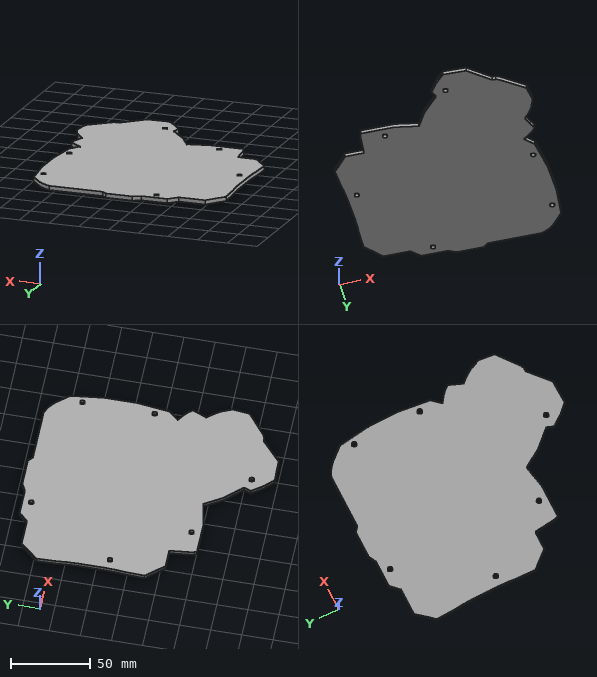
import cadquery as cq

length_y = 156.0
width_x = 137.5
thickness = 3.0
hole_diameter = 3.0

top_level = length_y
main_top = 153.3
corner_top = 147.5
corner_bottom = 54.9
foot_bottom = 37.6

left_axis = (corner_top + corner_bottom) / 2
left_half_points = [
    (1.2, 9.2),
    (1.0, 16.8),
    (0.5, 21.0),
    (0.0, 34.6),
    (0.6, 35.7),
    (3.6, 39.0),
    (9.7, corner_top - left_axis),
]

right_axis = 107.2
right_bulge_x = 130.9
right_bulge_half = 10.6
right_end_x = 128.2
right_end_half = 32.1

left_upper = [(x, left_axis + offset) for x, offset in left_half_points]
left_lower = [(x, left_axis - offset) for x, offset in reversed(left_half_points)]

top_edge = [
    (27.5, corner_top),
    (33.0, main_top),
    (50.7, main_top),
    (55.7, top_level),
    (73.6, top_level),
    (76.6, main_top),
    (112.5, main_top),
]

upper_right_corner = [
    (116.8, 151.2),
    (119.3, 149.3),
    (121.5, 147.3),
]

right_edge = [
    (right_end_x, right_axis + right_end_half),
    (right_bulge_x, right_axis + right_bulge_half),
    (right_bulge_x, right_axis - right_bulge_half),
    (right_end_x, right_axis - right_end_half),
]

lobe_edge = [
    (122.9, 69.1),
    (127.3, 66.0),
    (130.0, 63.6),
    (132.0, 61.0),
    (128.2, 51.6),
    (131.5, 47.7),
    (134.2, 44.0),
    (width_x, 36.5),
    (136.2, 25.3),
    (121.7, 13.7),
    (119.6, 12.8),
    (117.1, 12.6),
    (103.4, 0.5),
    (88.5, 0.0),
    (82.5, 6.1),
    (77.4, 13.3),
    (79.1, 18.0),
    (68.8, 29.2),
    (61.8, 40.7),
]

foot_edge = [
    (46.6, foot_bottom),
    (24.6, foot_bottom),
    (23.5, 40.2),
    (22.0, corner_bottom),
]

right_hole_x = 124.8
hole_centers = [
    (42.5, corner_top),
    (right_hole_x, 130.7),
    (right_hole_x, 84.2),
    (8.0, 90.3),
    (38.8, 43.8),
    (86.3, 14.4),
]

outline = left_upper + top_edge + upper_right_corner + right_edge + lobe_edge + foot_edge + left_lower

plate = cq.Workplane("XY").polyline(outline).close().extrude(thickness)
holes = cq.Workplane("XY").pushPoints(hole_centers).circle(hole_diameter / 2).extrude(thickness)

result = plate.cut(holes)